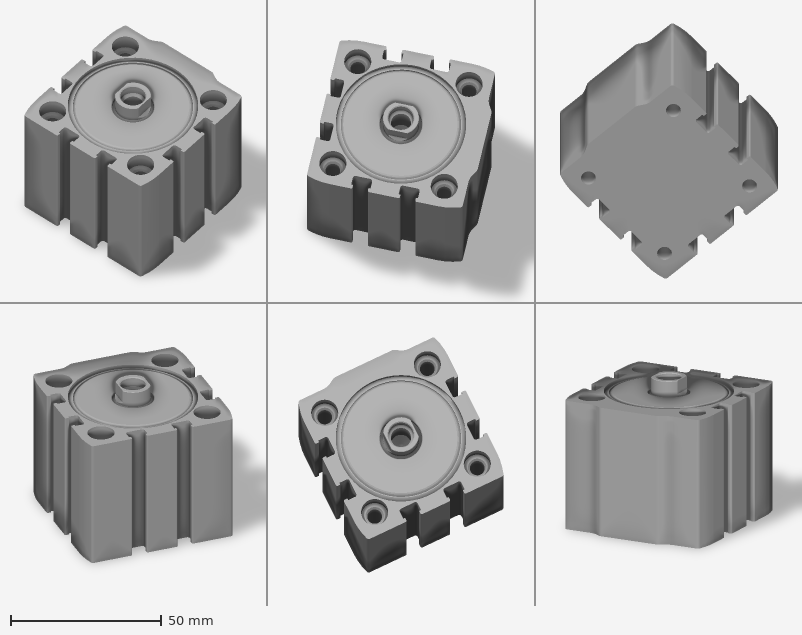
import cadquery as cq
import math


half_width = 26.5
pad_side = 28.5
housing_height = 44.5
side_flat_half = 18.5
side_curve_radius = 23.1
corner_radius = 1.0
pad_slope_middle = 12.6
pad_slope_angle = 30.0
pad_crest_radius = 2.2
pad_foot_radius = 4.95

slot_offset = 8.1
slot_mouth_width = 5.2
slot_inner_width = 6.6
slot_lip_depth = 1.45
slot_depth = 4.8
slot_lip_radius = 0.5
slot_floor_radius = 0.8

mount_offset = 19.0
mount_bore_diameter = 9.0
mount_bore_depth = 5.2
mount_chamfer_diameter = 6.2
mount_hole_diameter = 4.9

outer_groove_diameter = 43.4
outer_groove_depth = 1.65
ridge_outer_diameter = 40.6
ridge_inner_diameter = 40.0
ridge_depth = 0.55
inner_groove_depth = 1.2
cover_shoulder_diameter = 38.5
cover_shoulder_depth = 0.5
cover_face_diameter = 37.5
cover_face_depth = 0.3

wiper_rim_diameter = 14.6
wiper_diameter = 14.1
wiper_groove_depth = 1.65
wiper_lip_depth = 0.6

rod_diameter = 12.0
rod_projection = 5.0
rod_seat_depth = 33.0
rod_top_chamfer = 0.15
flats_width = 10.0
flats_height = 0.45

socket_mouth_diameter = 9.0
socket_diameter = 8.4
socket_depth = 3.3
tap_hole_diameter = 6.65
tap_hole_depth = 13.2
drill_tip_angle = 118.0

rod_top = housing_height + rod_projection
seat_floor = housing_height - rod_seat_depth


def revolved(profile):
    """Solid of revolution about Z from (radius, height) points; it starts and ends on the axis."""
    return cq.Workplane("XZ").polyline(profile).close().revolve(360, (0, 0), (0, 1))


def cylinder(diameter, bottom, top):
    return cq.Workplane("XY").workplane(offset=bottom).circle(diameter / 2).extrude(top - bottom)


def fillet_uprights(body, points, radius):
    """Round the vertical edges of the body that pass through the given XY points."""
    reach = 0.05
    for x, y in points:
        box = cq.selectors.BoxSelector(
            (x - reach, y - reach, -reach), (x + reach, y + reach, housing_height + reach)
        )
        body = body.edges("|Z").edges(box).fillet(radius)
    return body


def make_block():
    """Extruded housing outline: curved ends on the X sides and a raised pad on the +Y side."""
    curve_center = half_width - side_curve_radius
    corner_angle = math.asin((half_width - side_flat_half) / side_curve_radius)

    def side_curve_point(angle):
        return (
            curve_center + side_curve_radius * math.cos(angle),
            side_flat_half + side_curve_radius * math.sin(angle),
        )

    corner_x, corner_y = side_curve_point(corner_angle)
    curve_x, curve_y = side_curve_point(corner_angle / 2)
    slope_run = (pad_side - half_width) / math.tan(math.radians(pad_slope_angle))
    crest_x = pad_slope_middle - slope_run / 2
    foot_x = pad_slope_middle + slope_run / 2

    block = (
        cq.Workplane("XY")
        .moveTo(-corner_x, -corner_y)
        .lineTo(corner_x, -corner_y)
        .threePointArc((curve_x, -curve_y), (half_width, -side_flat_half))
        .lineTo(half_width, side_flat_half)
        .threePointArc((curve_x, curve_y), (corner_x, corner_y))
        .lineTo(foot_x, half_width)
        .lineTo(crest_x, pad_side)
        .lineTo(-crest_x, pad_side)
        .lineTo(-foot_x, half_width)
        .lineTo(-corner_x, corner_y)
        .threePointArc((-curve_x, curve_y), (-half_width, side_flat_half))
        .lineTo(-half_width, -side_flat_half)
        .threePointArc((-curve_x, -curve_y), (-corner_x, -corner_y))
        .close()
        .extrude(housing_height)
    )
    corners = [(sx * corner_x, sy * corner_y) for sx in (-1, 1) for sy in (-1, 1)]
    block = fillet_uprights(block, corners, corner_radius)
    block = fillet_uprights(block, [(-foot_x, half_width), (foot_x, half_width)], pad_foot_radius)
    return fillet_uprights(block, [(-crest_x, pad_side), (crest_x, pad_side)], pad_crest_radius)


def make_slot():
    """T-slot cutter on the -Y side, centred on X = 0, with rounded lips and floor corners."""
    inner_depth = slot_depth - slot_lip_depth
    inner = (
        cq.Workplane("XY")
        .center(0, -half_width + slot_lip_depth + inner_depth / 2)
        .rect(slot_inner_width, inner_depth)
        .extrude(housing_height)
        .edges("|Z and >Y")
        .fillet(slot_floor_radius)
    )
    mouth = slot_mouth_width / 2
    lip = slot_lip_radius
    bulge = lip * (1 - math.sqrt(0.5))
    face = -half_width
    neck = (
        cq.Workplane("XY")
        .moveTo(-mouth - lip, face)
        .threePointArc((-mouth - bulge, face + bulge), (-mouth, face + lip))
        .lineTo(-mouth, face + slot_lip_depth)
        .lineTo(mouth, face + slot_lip_depth)
        .lineTo(mouth, face + lip)
        .threePointArc((mouth + bulge, face + bulge), (mouth + lip, face))
        .close()
        .extrude(housing_height)
    )
    return inner.union(neck)


def make_mounting_hole():
    """Through hole with a 45 degree chamfer below a counterbore."""
    bore_floor = housing_height - mount_bore_depth
    chamfer = (mount_chamfer_diameter - mount_hole_diameter) / 2
    return revolved([
        (0, 0),
        (mount_hole_diameter / 2, 0),
        (mount_hole_diameter / 2, bore_floor - chamfer),
        (mount_chamfer_diameter / 2, bore_floor),
        (mount_bore_diameter / 2, bore_floor),
        (mount_bore_diameter / 2, housing_height),
        (0, housing_height),
    ])


def make_cover_recess():
    """Space above the cover: two grooves with a ridge between them, then the flat face."""
    top = housing_height
    return revolved([
        (0, top),
        (outer_groove_diameter / 2, top),
        (outer_groove_diameter / 2, top - outer_groove_depth),
        (ridge_outer_diameter / 2, top - ridge_depth),
        (ridge_inner_diameter / 2, top - ridge_depth),
        (ridge_inner_diameter / 2, top - inner_groove_depth),
        (cover_shoulder_diameter / 2, top - cover_shoulder_depth),
        (cover_face_diameter / 2, top - cover_face_depth),
        (0, top - cover_face_depth),
    ])


def make_wiper_recess():
    """Ring groove around the rod, whose floor rises to a lip at the rod."""
    top = housing_height
    rim_chamfer = (wiper_rim_diameter - wiper_diameter) / 2
    return revolved([
        (0, top - cover_face_depth),
        (wiper_rim_diameter / 2, top - cover_face_depth),
        (wiper_diameter / 2, top - cover_face_depth - rim_chamfer),
        (wiper_diameter / 2, top - wiper_groove_depth),
        (rod_diameter / 2, top - wiper_lip_depth),
        (0, top - wiper_lip_depth),
    ])


def make_housing():
    housing = make_block()
    for turn in (-90, 0, 90):
        for side in (-1, 1):
            slot = make_slot().translate((side * slot_offset, 0, 0))
            housing = housing.cut(slot.rotate((0, 0, 0), (0, 0, 1), turn))
    for x in (-mount_offset, mount_offset):
        for y in (-mount_offset, mount_offset):
            housing = housing.cut(make_mounting_hole().translate((x, y, 0)))
    housing = housing.cut(make_cover_recess())
    housing = housing.cut(make_wiper_recess())
    return housing.cut(cylinder(rod_diameter, seat_floor, housing_height))


def make_flat_cutter(side):
    """Material beside one wrench flat; its lower end slopes outward at 45 degrees."""
    flat = flats_width / 2
    overhang = rod_diameter / 2
    flat_end = housing_height + flats_height
    return (
        cq.Workplane("XZ")
        .moveTo(side * flat, rod_top)
        .lineTo(side * flat, flat_end)
        .lineTo(side * (flat + overhang), flat_end - overhang)
        .lineTo(side * (flat + overhang), rod_top)
        .close()
        .extrude(rod_diameter, both=True)
    )


def make_rod_socket():
    """Chamfered socket, cone down to the tapping hole, and the drill tip."""
    mouth_chamfer = (socket_mouth_diameter - socket_diameter) / 2
    socket_floor = rod_top - socket_depth
    cone_height = (socket_diameter - tap_hole_diameter) / 2
    hole_end = rod_top - tap_hole_depth
    tip_height = tap_hole_diameter / 2 / math.tan(math.radians(drill_tip_angle / 2))
    return revolved([
        (0, rod_top),
        (socket_mouth_diameter / 2, rod_top),
        (socket_diameter / 2, rod_top - mouth_chamfer),
        (socket_diameter / 2, socket_floor),
        (tap_hole_diameter / 2, socket_floor - cone_height),
        (tap_hole_diameter / 2, hole_end),
        (0, hole_end - tip_height),
    ])


def make_rod():
    rod = cylinder(rod_diameter, seat_floor, rod_top).faces(">Z").chamfer(rod_top_chamfer)
    for side in (-1, 1):
        rod = rod.cut(make_flat_cutter(side))
    return rod.cut(make_rod_socket())


housing = make_housing()
rod = make_rod()
result = cq.Compound.makeCompound([housing.val(), rod.val()])